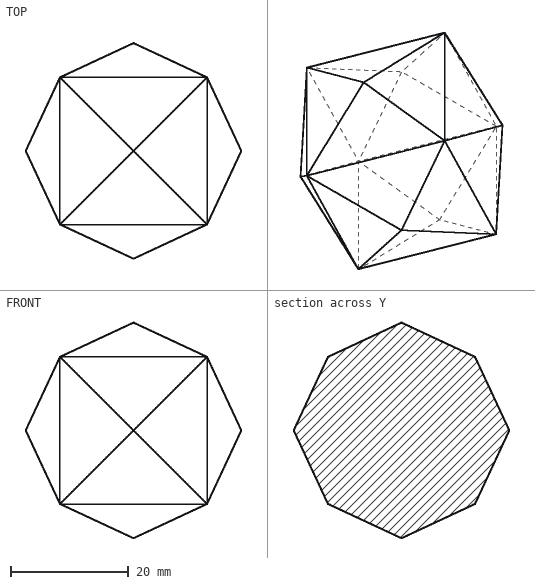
import cadquery as cq

overall_size = 36.65
cube_size = 25.0

apex_reach = overall_size / 2
corner_reach = cube_size / 2


def triangle(corners):
    """Flat face through three points."""
    return cq.Face.makeFromWires(cq.Wire.makePolygon(corners, close=True))


def pyramid_sides(axis, side):
    """Four sloping faces over the cube face on the given side of an axis."""

    def point(along, u, v):
        coordinates = [u, v]
        coordinates.insert(axis, side * along)
        return cq.Vector(*coordinates)

    apex = point(apex_reach, 0, 0)
    base = [
        point(corner_reach, u * corner_reach, v * corner_reach)
        for u, v in ((1, 1), (-1, 1), (-1, -1), (1, -1))
    ]
    return [triangle([apex, base[i - 1], base[i]]) for i in range(len(base))]


faces = []
for axis in range(3):
    for side in (-1, 1):
        faces += pyramid_sides(axis, side)

result = cq.Workplane(cq.Solid.makeSolid(cq.Shell.makeShell(faces)).fix())